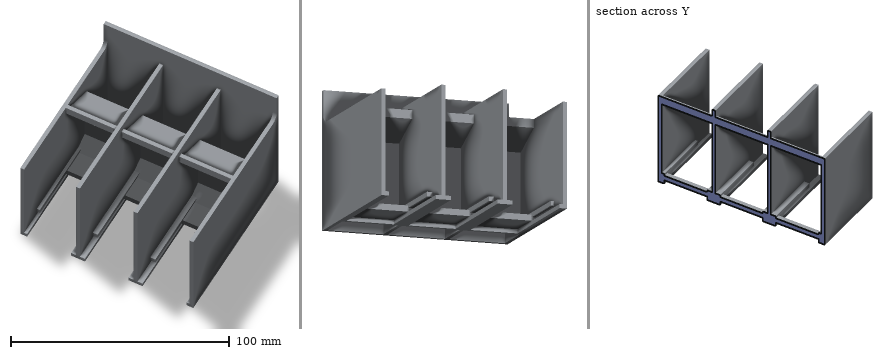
import cadquery as cq
import math

width = 90.0
depth = 82.5
height = 65.5
wall = 2.0

side_height = 50.0
divider_height = 53.8
corner_radius = divider_height - side_height
middle_bay = 28.0
divider_center = (middle_bay + wall) / 2
side_center = (width - wall) / 2

bar_bottom = 45.9
bar_back = 40.3
bar_front = bar_back + wall
panel_back = 22.05
panel_front = panel_back + wall
shelf_back_height = 39.1
shelf_under_panel = 38.0
shelf_slope = (bar_bottom - shelf_under_panel) / (bar_front - panel_front)
shelf_front_height = shelf_back_height + shelf_slope * (bar_back - panel_back)
floor_front = 43.65
floor_bottom = wall
floor_top = 4.9
ramp_top = 8.9
ramp_angle = 27.0
ramp_run = (ramp_top - floor_top) / math.tan(math.radians(ramp_angle))

side_rail_width = 1.5
divider_rail_width = 2.6
lower_rail_height = wall
upper_rail_bottom = 3.7
upper_rail_height = 2.25
upper_rail_setback = 12.3


def block(x_center, x_size, y_near_back, y_near_front, z_bottom, z_size):
    """Box whose Y range is given as distances forward of the back face."""
    return (
        cq.Workplane("XY")
        .box(x_size, y_near_front - y_near_back, z_size, centered=(True, False, False))
        .translate((x_center, -y_near_front, z_bottom))
    )


def side_wall(x_center):
    """Side wall whose top edge curves up into the back wall."""
    return (
        cq.Workplane("YZ")
        .moveTo(0, 0)
        .lineTo(-depth, 0)
        .lineTo(-depth, side_height)
        .lineTo(-wall - corner_radius, side_height)
        .radiusArc((-wall, side_height + corner_radius), -corner_radius)
        .lineTo(0, side_height + corner_radius)
        .close()
        .extrude(wall / 2, both=True)
        .translate((x_center, 0, 0))
    )


def divider(x_center):
    return block(x_center, wall, 0, depth, 0, divider_height)


def rails(x_center, rail_width, x_side):
    """Lower and upper rail on one face of an upright wall."""
    rail_center = x_center + x_side * (wall + rail_width) / 2
    lower = block(rail_center, rail_width, panel_back, depth, 0, lower_rail_height)
    upper = block(
        rail_center,
        rail_width,
        panel_back,
        depth - upper_rail_setback,
        upper_rail_bottom,
        upper_rail_height,
    )
    return lower.union(upper)


def partition():
    """Bar, shelf, panel and raised floor with a ramp, running across all three bays."""
    outline = [
        (-panel_back, 0),
        (-panel_back, shelf_back_height),
        (-bar_back, shelf_front_height),
        (-bar_back, side_height),
        (-bar_front, side_height),
        (-bar_front, bar_bottom),
        (-panel_front, shelf_under_panel),
        (-panel_front, ramp_top),
        (-panel_front - ramp_run, floor_top),
        (-floor_front, floor_top),
        (-floor_front, floor_bottom),
        (-panel_front, floor_bottom),
        (-panel_front, 0),
    ]
    return cq.Workplane("YZ").polyline(outline).close().extrude(side_center, both=True)


result = block(0, width, 0, wall, 0, height).union(partition())

for x_side in (-1, 1):
    result = result.union(side_wall(x_side * side_center))
    result = result.union(rails(x_side * side_center, side_rail_width, -x_side))
    result = result.union(divider(x_side * divider_center))
    for rail_side in (-1, 1):
        result = result.union(rails(x_side * divider_center, divider_rail_width, rail_side))